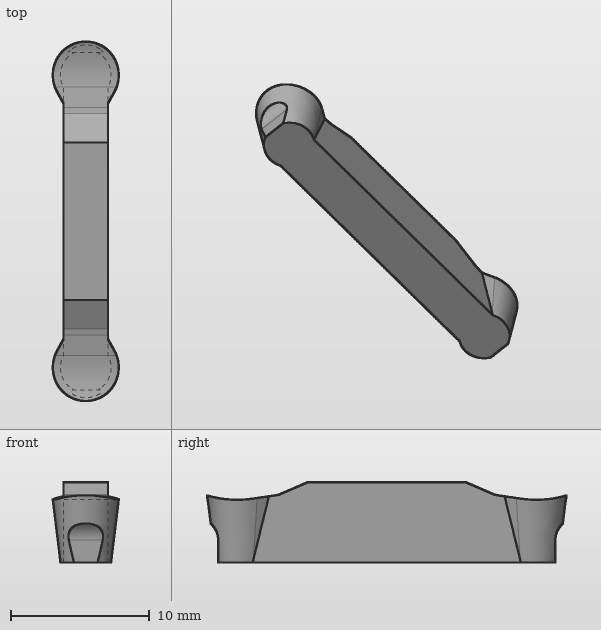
import cadquery as cq
import math

length = 25.9
height = 5.8
bar_width = 3.2

nose_width = 4.76
relief_angle = math.radians(7)
neck_angle = math.radians(30)

rake_radius = 7.77
rake_low_z = 4.53
tip_z = 4.85
rake_end_y = 9.65
ramp_end_y = 8.18
blend_end_y = 7.77
blend_end_z = 4.9
crest_half_length = 5.67

toe_y = 12.15
toe_flat_height = 1.63
toe_radius = 1.55

half_length = length / 2
margin = 0.52


def nose_radius(z):
    return nose_width / 2 + (z - rake_low_z) * math.tan(relief_angle)


nose_y = half_length - nose_radius(tip_z)
tip_rise = tip_z - rake_low_z
rake_center_y = half_length - math.sqrt(rake_radius**2 - (rake_radius - tip_rise)**2)


def rake_z(y):
    return rake_low_z + rake_radius - math.sqrt(rake_radius**2 - (y - rake_center_y)**2)


def make_nose():
    """Cone frustum at the +Y end."""
    return (
        cq.Workplane("XY").center(0, nose_y).circle(nose_radius(0))
        .workplane(offset=height).circle(nose_radius(height))
        .loft(ruled=True)
    )


def neck_points(z):
    """Triangle with two sides tangent to the nose circle at level z."""
    radius = nose_radius(z)
    half_width = radius * math.cos(neck_angle)
    tangent_y = nose_y - radius * math.sin(neck_angle)
    apex_y = nose_y - radius / math.sin(neck_angle)
    return [(-half_width, tangent_y), (half_width, tangent_y), (0, apex_y)]


def make_neck():
    return (
        cq.Workplane("XY").polyline(neck_points(0)).close()
        .workplane(offset=height).polyline(neck_points(height)).close()
        .loft(ruled=True)
    )


def make_profile():
    """Side profile of the +Y half, wide enough to trim the whole nose."""
    outer_y = half_length + margin
    ramp_slope = (rake_center_y - rake_end_y) / math.sqrt(
        rake_radius**2 - (rake_center_y - rake_end_y)**2
    )
    ramp_end_z = rake_z(rake_end_y) + ramp_slope * (rake_end_y - ramp_end_y)
    return (
        cq.Workplane("YZ")
        .moveTo(0, 0)
        .lineTo(outer_y, 0)
        .lineTo(outer_y, rake_z(outer_y))
        .threePointArc((rake_center_y, rake_low_z), (rake_end_y, rake_z(rake_end_y)))
        .lineTo(ramp_end_y, ramp_end_z)
        .tangentArcPoint((blend_end_y, blend_end_z), relative=False)
        .lineTo(crest_half_length, height)
        .lineTo(0, height)
        .close()
        .extrude(nose_width, both=True)
    )


def make_toe_cutter():
    """Flat below the tip, followed by a quarter arc running out forward."""
    arc_center_y = toe_y + toe_radius
    diagonal = toe_radius * math.sqrt(0.5)
    return (
        cq.Workplane("YZ")
        .moveTo(toe_y, -margin)
        .lineTo(toe_y, toe_flat_height)
        .threePointArc(
            (arc_center_y - diagonal, toe_flat_height + diagonal),
            (arc_center_y, toe_flat_height + toe_radius),
        )
        .lineTo(arc_center_y, -margin)
        .close()
        .extrude(nose_width, both=True)
    )


bar = cq.Workplane("XY").box(bar_width, nose_y, height, centered=(True, False, False))
half = bar.union(make_nose()).union(make_neck())
half = half.intersect(make_profile()).cut(make_toe_cutter())

result = half.union(half.mirror("XZ")).clean()